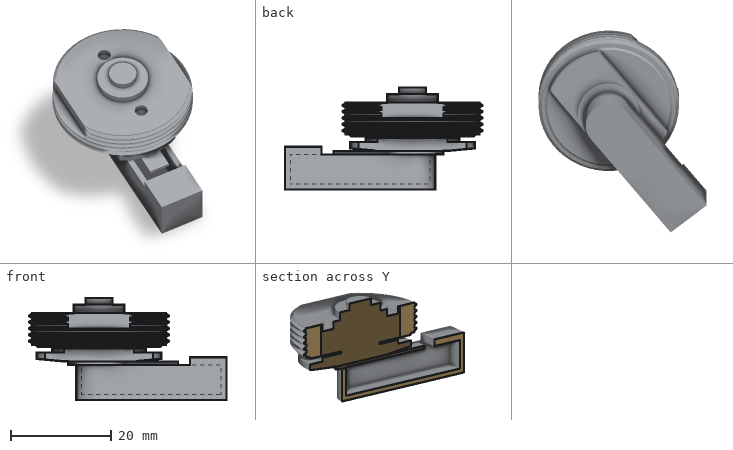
import cadquery as cq
import math


HOUSING_RIM_Z = 7.05
PLATE_TOP_Z = 7.75
WING_TOP_Z = 9.52
STEP_TOP_Z = 10.35
RING_BOTTOM_Z = 10.65
RING_TOP_Z = 17.4
BOSS_TOP_Z = 19.05
PIN_TOP_Z = 20.45

HOUSING_RADIUS = 4.6
HOUSING_END_X = 25.5
HEAD_START_X = 18.15
HEAD_TOP_Z = 8.58
WALL = 1.1

COLLAR_RADIUS = 6.15
TONGUE_HALF_WIDTH = 2.1
TONGUE_END_X = 15.8
TONGUE_FILLET = 2.45

WING_RADIUS = 12.5
WING_HALF_WIDTH = 6.3
TAPER_START_X = 7.3
TAPER_RISE = 0.47
STEP_RADIUS = 9.35
NECK_RADIUS = 4.75
INSERT_RADIUS = 9.75
BOSS_RADIUS = 5.05
PIN_RADIUS = 2.73
HOLE_RADIUS = 1.3
HOLE_OFFSET = 7.95
HOLE_DEPTH = 1.5

CREST_RADIUS = 14.03
ROOT_RADIUS = 13.35
TOOTH_HALF_HEIGHT = 0.4
TOOTH_COUNT = 5
PITCH = 1.25
LOWEST_CREST_Z = 11.78
LIP_TOP_Z = 11.03
LIP_RADIUS = 12.6
LIP_CHAMFER = LIP_TOP_Z - RING_BOTTOM_Z
FLAT_HALF_WIDTH = 11.85
FLAT_FLOOR_Z = 14.25


def disc(radius, bottom, top):
    """Cylinder on the common axis between two heights."""
    return cq.Workplane("XY").workplane(offset=bottom).circle(radius).extrude(top - bottom)


def block(start_x, end_x, half_width, bottom, top):
    """Box centred on Y = 0."""
    return (
        cq.Workplane("XY")
        .box(end_x - start_x, 2 * half_width, top - bottom, centered=(False, True, False))
        .translate((start_x, 0, bottom))
    )


def make_housing():
    """Round-ended box with a taller head and an open cavity that continues under the head."""
    body = disc(HOUSING_RADIUS, 0, HOUSING_RIM_Z)
    body = body.union(block(0, HOUSING_END_X, HOUSING_RADIUS, 0, HOUSING_RIM_Z))
    body = body.union(block(HEAD_START_X, HOUSING_END_X, HOUSING_RADIUS, 0, HEAD_TOP_Z))

    cavity_radius = HOUSING_RADIUS - WALL
    cavity = disc(cavity_radius, WALL, HOUSING_RIM_Z)
    cavity = cavity.union(block(0, HOUSING_END_X - WALL, cavity_radius, WALL, HOUSING_RIM_Z))
    return body.cut(cavity)


def make_tongue_plate():
    """Round collar with a straight tongue, joined by tangent fillets."""
    fillet_y = TONGUE_HALF_WIDTH + TONGUE_FILLET
    centre_distance = COLLAR_RADIUS + TONGUE_FILLET
    fillet_x = math.sqrt(centre_distance**2 - fillet_y**2)
    collar_share = COLLAR_RADIUS / centre_distance
    tangent_x = fillet_x * collar_share
    tangent_y = fillet_y * collar_share

    toward_collar = math.atan2(-fillet_y, -fillet_x)
    middle_angle = (toward_collar - math.pi / 2) / 2
    middle_x = fillet_x + TONGUE_FILLET * math.cos(middle_angle)
    middle_y = fillet_y + TONGUE_FILLET * math.sin(middle_angle)

    return (
        cq.Workplane("XY")
        .workplane(offset=HOUSING_RIM_Z)
        .moveTo(TONGUE_END_X, -TONGUE_HALF_WIDTH)
        .lineTo(TONGUE_END_X, TONGUE_HALF_WIDTH)
        .lineTo(fillet_x, TONGUE_HALF_WIDTH)
        .threePointArc((middle_x, middle_y), (tangent_x, tangent_y))
        .threePointArc((-COLLAR_RADIUS, 0), (tangent_x, -tangent_y))
        .threePointArc((middle_x, -middle_y), (fillet_x, -TONGUE_HALF_WIDTH))
        .close()
        .extrude(PLATE_TOP_Z - HOUSING_RIM_Z)
    )


def make_wings():
    """Flat-sided wing plate with a tapered underside and a raised disc on top."""
    taper_z = PLATE_TOP_Z + TAPER_RISE
    envelope = (
        cq.Workplane("XZ")
        .polyline([
            (-WING_RADIUS, taper_z),
            (-TAPER_START_X, PLATE_TOP_Z),
            (TAPER_START_X, PLATE_TOP_Z),
            (WING_RADIUS, taper_z),
            (WING_RADIUS, STEP_TOP_Z),
            (-WING_RADIUS, STEP_TOP_Z),
        ])
        .close()
        .extrude(WING_HALF_WIDTH, both=True)
    )
    stepped = disc(WING_RADIUS, PLATE_TOP_Z, WING_TOP_Z).union(disc(STEP_RADIUS, PLATE_TOP_Z, STEP_TOP_Z))
    return stepped.intersect(envelope)


def make_insert():
    """Wing plate carrying the neck, the disc that fills the ring, the boss and the pin."""
    body = make_wings()
    body = body.union(disc(NECK_RADIUS, STEP_TOP_Z, RING_BOTTOM_Z))
    body = body.union(disc(INSERT_RADIUS, RING_BOTTOM_Z, RING_TOP_Z))
    body = body.union(disc(BOSS_RADIUS, RING_TOP_Z, BOSS_TOP_Z))
    body = body.union(disc(PIN_RADIUS, BOSS_TOP_Z, PIN_TOP_Z))
    for side in (-1, 1):
        hole = disc(HOLE_RADIUS, RING_TOP_Z - HOLE_DEPTH, RING_TOP_Z)
        body = body.cut(hole.translate((side * HOLE_OFFSET, 0, 0)))
    return body


def make_ring():
    """Ring with pointed thread ridges and two flats across its upper part."""
    profile = [
        (INSERT_RADIUS, RING_BOTTOM_Z),
        (LIP_RADIUS - LIP_CHAMFER, RING_BOTTOM_Z),
        (LIP_RADIUS, LIP_TOP_Z),
        (ROOT_RADIUS, LIP_TOP_Z),
    ]
    for tooth in range(TOOTH_COUNT):
        crest_z = LOWEST_CREST_Z + tooth * PITCH
        profile += [
            (ROOT_RADIUS, crest_z - TOOTH_HALF_HEIGHT),
            (CREST_RADIUS, crest_z),
            (ROOT_RADIUS, crest_z + TOOTH_HALF_HEIGHT),
        ]
    profile += [(ROOT_RADIUS, RING_TOP_Z), (INSERT_RADIUS, RING_TOP_Z)]
    ring = cq.Workplane("XZ").polyline(profile).close().revolve(360, (0, 0, 0), (0, 1, 0))

    flat_depth = CREST_RADIUS - FLAT_HALF_WIDTH
    for side in (-1, 1):
        flat = block(-CREST_RADIUS, CREST_RADIUS, flat_depth / 2, FLAT_FLOOR_Z, RING_TOP_Z)
        ring = ring.cut(flat.translate((0, side * (FLAT_HALF_WIDTH + flat_depth / 2), 0)))
    return ring


housing = make_housing()
tongue_plate = make_tongue_plate()
insert = make_insert()
ring = make_ring()

result = cq.Compound.makeCompound([housing.val(), tongue_plate.val(), insert.val(), ring.val()])